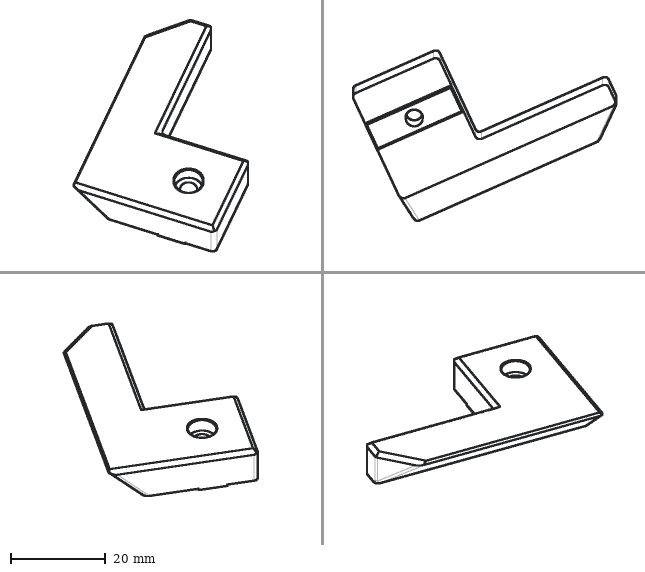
import cadquery as cq

width = 33.0
length = 50.0
body_height = 8.0
arm_width = 13.0
foot_length = 20.0
tip_cut = 8.0

top_chamfer = 1.0
corner_radius = 1.0

hole_x = 23.1
hole_y = foot_length / 2
hole_diameter = 3.6
counterbore_diameter = 6.0
counterbore_depth = 3.0
counterbore_chamfer = 0.2

rail_width = 6.2
rail_height = 0.6
rail_chamfer = 0.3


def make_body():
    """L-shaped block with a cut arm tip and a left side undercut at 45 degrees."""
    block = (
        cq.Workplane("XY")
        .moveTo(0, 0)
        .lineTo(width, 0)
        .lineTo(width, foot_length)
        .lineTo(arm_width, foot_length)
        .lineTo(arm_width, length)
        .lineTo(tip_cut, length)
        .lineTo(0, length - tip_cut)
        .close()
        .extrude(body_height)
    )
    undercut = (
        cq.Workplane("XZ")
        .polyline([(0, 0), (body_height, 0), (0, body_height)])
        .close()
        .extrude(-length)
    )
    return block.cut(undercut)


def break_edges(body):
    """Chamfer the top outline, then round the upright and sloping corners."""
    chamfered = body.faces(">Z").edges().chamfer(top_chamfer)
    middle = body_height / 2
    front_slope = cq.selectors.NearestToPointSelector((middle, 0, middle))
    tip_slope = cq.selectors.NearestToPointSelector((middle, length - middle, middle))
    uprights = cq.selectors.ParallelDirSelector(cq.Vector(0, 0, 1))
    return chamfered.edges(uprights + front_slope + tip_slope).fillet(corner_radius)


def cut_screw_hole(body):
    """Cut the through hole, its counterbore and the small chamfer at the mouth."""
    drilled = (
        body.faces(">Z")
        .workplane(origin=(hole_x, hole_y, body_height))
        .cboreHole(hole_diameter, counterbore_diameter, counterbore_depth)
    )
    mouth = drilled.faces(">Z").edges("%CIRCLE")
    return mouth.chamfer(counterbore_chamfer)


def make_rail():
    """Rail along Y below the foot, chamfered around its lower face."""
    rail = (
        cq.Workplane("XY")
        .center(hole_x, hole_y)
        .rect(rail_width, foot_length)
        .circle(hole_diameter / 2)
        .extrude(-rail_height)
    )
    return rail.faces("<Z").edges("%LINE").chamfer(rail_chamfer)


body = cut_screw_hole(break_edges(make_body()))
result = body.union(make_rail())